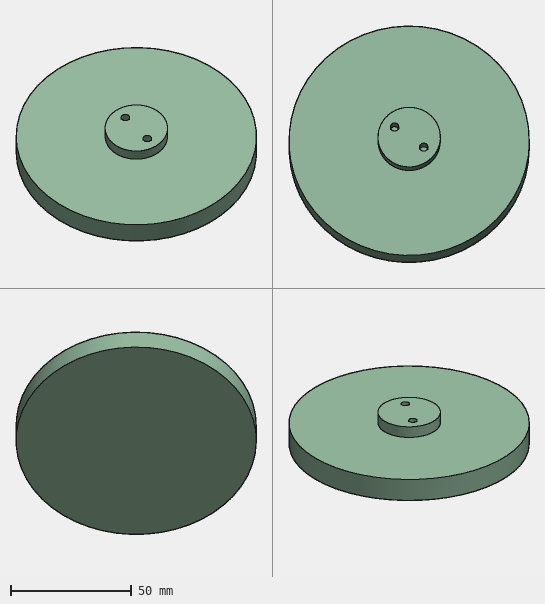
import cadquery as cq

disc_diameter = 100
disc_thickness = 10

boss_diameter = 26
boss_height = 5

hole_diameter = 3.5
hole_spacing = 15
hole_depth = boss_height

disc = cq.Workplane("XY").circle(disc_diameter / 2).extrude(disc_thickness)

boss = (
    cq.Workplane("XY")
    .workplane(offset=disc_thickness)
    .circle(boss_diameter / 2)
    .extrude(boss_height)
)

holes = (
    cq.Workplane("XY")
    .workplane(offset=disc_thickness + boss_height)
    .pushPoints([(-hole_spacing / 2, 0), (hole_spacing / 2, 0)])
    .circle(hole_diameter / 2)
    .extrude(-hole_depth)
)

result = disc.union(boss).cut(holes)